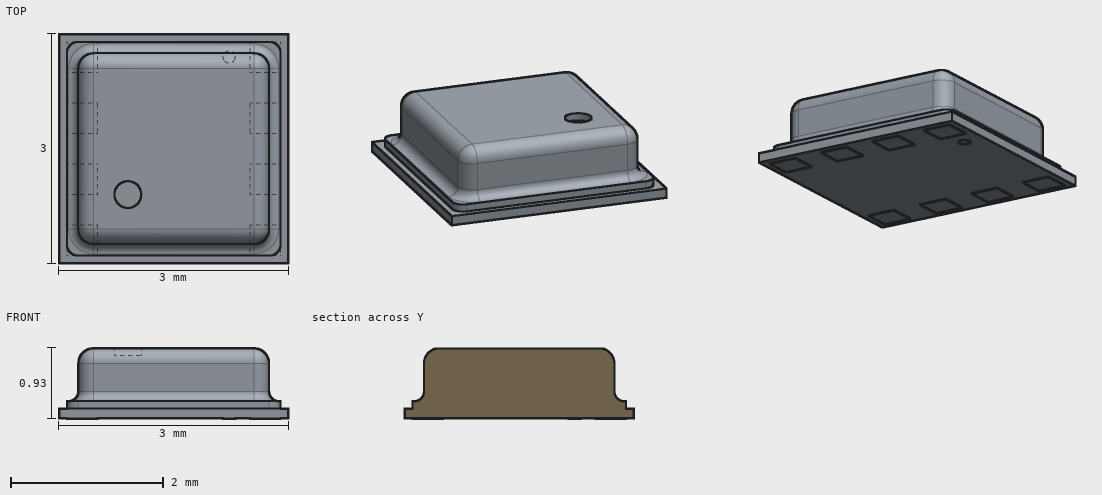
import cadquery as cq

body_side = 3
total_height = 0.93

pad_thickness = 0.01
plate_thickness = 0.13
flange_thickness = 0.1
plate_bottom = pad_thickness
flange_bottom = plate_bottom + plate_thickness
lid_bottom = flange_bottom + flange_thickness
lid_height = total_height - lid_bottom

flange_side = 2.8
flange_corner_radius = 0.15
lid_side = 2.5
lid_round_radius = 0.2
foot_radius = 0.125

vent_diameter = 0.35
vent_offset = 0.6
vent_depth = 0.1

pad_side = 0.4
pads_per_column = 4
outer_pad_offset = (flange_side - pad_side) / 2
pad_pitch = 2 * outer_pad_offset / (pads_per_column - 1)

mark_diameter = 0.16
mark_x = 0.725
mark_y = outer_pad_offset


def make_plate():
    """Square base plate."""
    return (
        cq.Workplane("XY")
        .workplane(offset=plate_bottom)
        .rect(body_side, body_side)
        .extrude(plate_thickness)
    )


def make_lid():
    """Flanged lid with rounded corners, a rounded roof edge and a flared foot."""
    flange = (
        cq.Workplane("XY")
        .workplane(offset=flange_bottom)
        .rect(flange_side, flange_side)
        .extrude(flange_thickness)
        .edges("|Z")
        .fillet(flange_corner_radius)
    )
    can = (
        cq.Workplane("XY")
        .workplane(offset=lid_bottom)
        .rect(lid_side, lid_side)
        .extrude(lid_height)
        .edges("|Z")
        .fillet(lid_round_radius)
        .faces(">Z")
        .edges()
        .fillet(lid_round_radius)
    )
    foot_reach = lid_side / 2 + foot_radius / 2
    foot_zone = cq.selectors.BoxSelector(
        (-foot_reach, -foot_reach, lid_bottom - flange_thickness / 2),
        (foot_reach, foot_reach, lid_bottom + foot_radius / 2),
        boundingbox=True,
    )
    return flange.union(can).edges(foot_zone).fillet(foot_radius)


def make_vent():
    """Blind vent hole, sunk from the roof towards the -X, -Y corner."""
    return (
        cq.Workplane("XY")
        .workplane(offset=total_height - vent_depth)
        .center(-vent_offset, -vent_offset)
        .circle(vent_diameter / 2)
        .extrude(vent_depth)
    )


def make_contacts():
    """Square pads and the round pin-one mark under the plate."""
    pads = (
        cq.Workplane("XY")
        .rarray(2 * outer_pad_offset, pad_pitch, 2, pads_per_column)
        .rect(pad_side, pad_side)
        .extrude(pad_thickness)
    )
    mark = (
        cq.Workplane("XY")
        .center(mark_x, mark_y)
        .circle(mark_diameter / 2)
        .extrude(pad_thickness)
    )
    return pads.union(mark)


result = make_plate().union(make_lid()).cut(make_vent()).union(make_contacts())